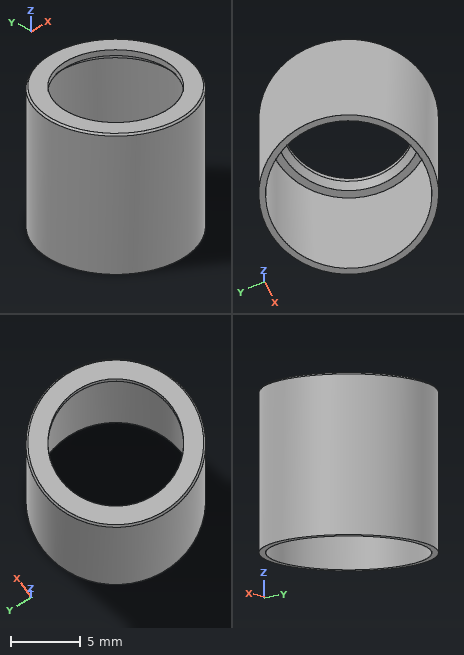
import cadquery as cq

outer_diameter = 13.0
height = 12.0
lip_bore_diameter = 9.8
main_bore_diameter = 12.0
lip_thickness = 1.0
lip_chamfer = 0.5
rim_chamfer = 0.15


def sleeve_body():
    """Solid cylinder standing on Z = 0 with its top rim chamfered."""
    cylinder = cq.Workplane("XY").circle(outer_diameter / 2).extrude(height)
    return cylinder.faces(">Z").edges().chamfer(rim_chamfer)


def stepped_bore():
    """Through hole, wide and open at the bottom, narrowing to the lip over a 45 degree chamfer."""
    lip_radius = lip_bore_diameter / 2
    main_radius = main_bore_diameter / 2
    lip_underside = height - lip_thickness
    half_profile = (
        cq.Workplane("XZ")
        .moveTo(0, 0)
        .lineTo(main_radius, 0)
        .lineTo(main_radius, lip_underside)
        .lineTo(lip_radius + lip_chamfer, lip_underside)
        .lineTo(lip_radius, lip_underside + lip_chamfer)
        .lineTo(lip_radius, height)
        .lineTo(0, height)
        .close()
    )
    return half_profile.revolve(360, (0, 0), (0, 1))


result = sleeve_body().cut(stepped_bore())